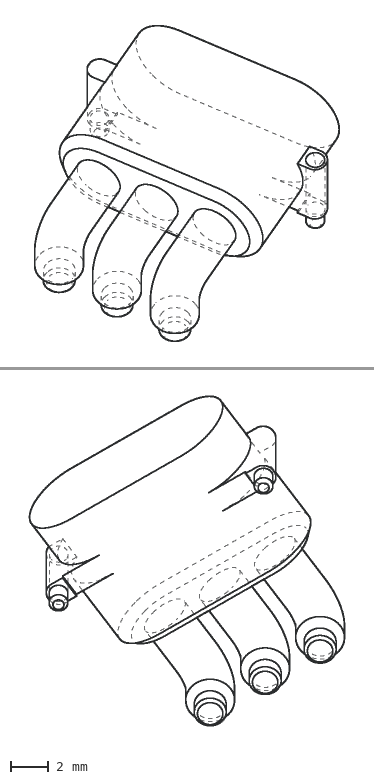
import cadquery as cq

CONTACT_COUNT = 3
CONTACT_PITCH = 3.5
HOUSING_HEIGHT = 5.3
HOUSING_LENGTH = 9.0
HOUSING_CHAMFER = 0.51

CONTACT_DIAMETER = 2.6
CONTACT_REACH = 5.68
INNER_BEND_RADIUS = 0.01
TIP_DIAMETER = 1.7
CONE_TOP_Z = -2.64
TIP_CHAMFER = 0.18

OVERALL_WIDTH = 14.3
LUG_WIDTH = 1.35
LUG_CORNER_RADIUS = 0.63
LUG_DEPTH = 1.34
LUG_DROP = 0.19
LUG_Y = 5.64
PIN_DIAMETER = 1.0
PIN_CHAMFER = 0.2

TIP_END_Z = -4.04

housing_bottom_z = -HOUSING_HEIGHT / 2
housing_width = (CONTACT_COUNT - 1) * CONTACT_PITCH + HOUSING_HEIGHT
contact_radius = CONTACT_DIAMETER / 2
stem_y = contact_radius - CONTACT_REACH
bend_radius = contact_radius + INNER_BEND_RADIUS
elbow_start_y = stem_y + bend_radius
lug_outer_x = OVERALL_WIDTH / 2
lug_inner_x = lug_outer_x - LUG_DEPTH
lug_top_z = contact_radius
lug_bottom_z = housing_bottom_z - LUG_DROP
pin_x = lug_outer_x - LUG_CORNER_RADIUS


def make_shell():
    """Obround block with its front rim chamfered."""
    return (
        cq.Workplane("XZ")
        .slot2D(housing_width, HOUSING_HEIGHT)
        .extrude(-HOUSING_LENGTH)
        .faces("<Y")
        .chamfer(HOUSING_CHAMFER)
    )


def make_lug(side):
    """Round-cornered lug with a web that fills the gap under the housing; side is -1 or 1."""
    lug = (
        cq.Workplane("XY", origin=(side * (lug_outer_x - LUG_DEPTH / 2), LUG_Y, lug_bottom_z))
        .rect(LUG_DEPTH, LUG_WIDTH)
        .extrude(lug_top_z - lug_bottom_z)
        .edges("|Z")
        .edges(">X" if side > 0 else "<X")
        .fillet(LUG_CORNER_RADIUS)
    )
    web = (
        cq.Workplane("XY", origin=(side * lug_inner_x / 2, LUG_Y, housing_bottom_z))
        .rect(lug_inner_x, LUG_WIDTH)
        .extrude(-housing_bottom_z)
    )
    return lug.union(web)


def make_pin(side):
    """Round pin from the top of a lug to below it, chamfered at its lower end."""
    return (
        cq.Workplane("XY", origin=(side * pin_x, LUG_Y, TIP_END_Z))
        .circle(PIN_DIAMETER / 2)
        .extrude(lug_top_z - TIP_END_Z)
        .faces("<Z")
        .chamfer(PIN_CHAMFER)
    )


def make_housing(separate_pin):
    """Shell with both lugs; the left pin is part of it, the right pin sits in a through hole."""
    housing = make_shell()
    for side in (-1, 1):
        housing = housing.union(make_lug(side))
    return housing.union(make_pin(-1)).cut(separate_pin)


def make_contact(x):
    """Round bar leaving the housing front, turning down and ending in a stepped tip."""
    bar = (
        cq.Workplane("XZ", origin=(x, 0, 0))
        .circle(contact_radius)
        .extrude(-elbow_start_y)
    )
    elbow = (
        cq.Workplane("XZ", origin=(x, elbow_start_y, 0))
        .circle(contact_radius)
        .revolve(90, (-0.15, -bend_radius), (0.15, -bend_radius))
    )
    tip_radius = TIP_DIAMETER / 2
    cone_bottom_z = CONE_TOP_Z - (contact_radius - tip_radius)
    stem = (
        cq.Workplane("XZ", origin=(x, stem_y, 0))
        .moveTo(0, -bend_radius)
        .lineTo(contact_radius, -bend_radius)
        .lineTo(contact_radius, CONE_TOP_Z)
        .lineTo(tip_radius, cone_bottom_z)
        .lineTo(tip_radius, TIP_END_Z + TIP_CHAMFER)
        .lineTo(tip_radius - TIP_CHAMFER, TIP_END_Z)
        .lineTo(0, TIP_END_Z)
        .close()
        .revolve(360, (0, 0), (0, 1))
    )
    return bar.union(elbow).union(stem)


lug_pin = make_pin(1)
housing = make_housing(lug_pin)

contacts = []
for index in range(CONTACT_COUNT):
    contact_x = (index - (CONTACT_COUNT - 1) / 2) * CONTACT_PITCH
    contacts.append(make_contact(contact_x).solids().val())

result = cq.Compound.makeCompound([housing.solids().val(), lug_pin.solids().val(), *contacts])